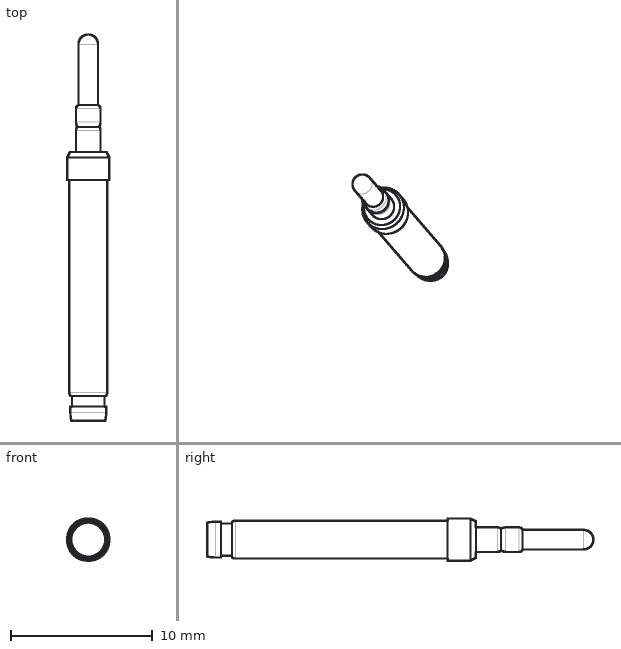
import cadquery as cq

collar_front = 2.0
tip_end = collar_front + 8.3
tail_end = -17.0

pin_radius = 0.7

shaft_radius = 0.875
shaft_front = tip_end - 5.0
shaft_lead_length = 0.25

groove_front = shaft_front - 1.2
groove_bottom = groove_front - 0.325
groove_rear = groove_front - 0.575
groove_depth = 0.09

collar_radius = 1.5
collar_front_radius = 1.3
collar_chamfer_length = 0.4

barrel_radius = 1.35
barrel_rounding_length = 0.25
barrel_rear_radius = 1.22
barrel_rear = tail_end + 1.75

neck_radius = 1.15
plug_radius = 1.28
plug_end_radius = 1.2
plug_front = tail_end + 1.0
plug_round_start = tail_end + 0.6


def revolve_about_y(half_profile):
    """Turn an open half profile into a solid around the Y axis."""
    return half_profile.close().revolve(360, (0, 0, 0), (0, 1, 0))


def rounding_radius(length, drop):
    """Radius of an arc that leaves a cylinder tangentially and drops inward over the given length."""
    return (length**2 + drop**2) / (2 * drop)


def make_plunger():
    """Round-nosed pin stepping up to the shaft, whose lead and groove edges round over."""
    nose_start = tip_end - pin_radius
    groove_radius = shaft_radius - groove_depth
    lead_rounding = rounding_radius(shaft_lead_length, shaft_radius - pin_radius)
    groove_front_rounding = rounding_radius(groove_front - groove_bottom, groove_depth)
    groove_rear_rounding = rounding_radius(groove_bottom - groove_rear, groove_depth)
    return revolve_about_y(
        cq.Workplane("XY")
        .moveTo(0, tip_end)
        .radiusArc((pin_radius, nose_start), pin_radius)
        .lineTo(pin_radius, shaft_front)
        .radiusArc((shaft_radius, shaft_front - shaft_lead_length), lead_rounding)
        .lineTo(shaft_radius, groove_front)
        .radiusArc((groove_radius, groove_bottom), groove_front_rounding)
        .radiusArc((shaft_radius, groove_rear), groove_rear_rounding)
        .lineTo(shaft_radius, 0)
        .lineTo(0, 0)
    )


def make_housing():
    """Collar, barrel, neck and end plug, stepped along the axis."""
    return revolve_about_y(
        cq.Workplane("XY")
        .moveTo(0, collar_front)
        .lineTo(collar_front_radius, collar_front)
        .lineTo(collar_radius, collar_front - collar_chamfer_length)
        .lineTo(collar_radius, 0)
        .lineTo(barrel_radius, 0)
        .lineTo(barrel_radius, barrel_rear + barrel_rounding_length)
        .tangentArcPoint((barrel_rear_radius, barrel_rear), relative=False)
        .lineTo(neck_radius, barrel_rear)
        .lineTo(neck_radius, plug_front)
        .lineTo(plug_radius, plug_front)
        .lineTo(plug_radius, plug_round_start)
        .tangentArcPoint((plug_end_radius, tail_end), relative=False)
        .lineTo(0, tail_end)
    )


result = make_housing().union(make_plunger())